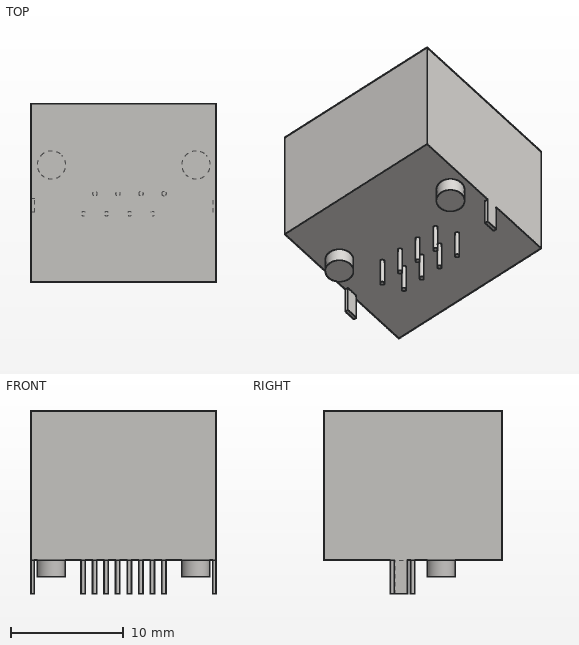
import cadquery as cq

HOUSING_WIDTH = 16.4
HOUSING_DEPTH = 15.8
HOUSING_HEIGHT = 13.2

PIN_COUNT = 8
PIN_DIAMETER = 0.4
PIN_LENGTH = 3.0
PIN_PITCH = 1.02
ROW_SPACING = 1.78
INNER_ROW_Y = -0.04
OUTER_ROW_Y = INNER_ROW_Y - ROW_SPACING

PEG_DIAMETER = 2.5
PEG_LENGTH = 1.5
PEG_SPACING = 12.8
PEG_TO_PIN_ROW = 2.54
PEG_Y = INNER_ROW_Y + PEG_TO_PIN_ROW

TAB_THICKNESS = 0.3
TAB_WIDTH = 1.2
TAB_LENGTH = PIN_LENGTH
TAB_Y = -1.07


def make_housing():
    return cq.Workplane("XY").box(
        HOUSING_WIDTH, HOUSING_DEPTH, HOUSING_HEIGHT, centered=(True, True, False)
    )


def posts(points, diameter, length):
    """Round posts hanging down from the underside."""
    return cq.Workplane("XY").pushPoints(points).circle(diameter / 2).extrude(-length)


def make_pins():
    first_x = -PIN_PITCH * (PIN_COUNT - 1) / 2
    points = []
    for index in range(PIN_COUNT):
        row_y = OUTER_ROW_Y if index % 2 == 0 else INNER_ROW_Y
        points.append((first_x + index * PIN_PITCH, row_y))
    return posts(points, PIN_DIAMETER, PIN_LENGTH)


def make_pegs():
    points = [(side * PEG_SPACING / 2, PEG_Y) for side in (-1, 1)]
    return posts(points, PEG_DIAMETER, PEG_LENGTH)


def make_tabs():
    tab_x = (HOUSING_WIDTH - TAB_THICKNESS) / 2
    return (
        cq.Workplane("XY")
        .pushPoints([(-tab_x, TAB_Y), (tab_x, TAB_Y)])
        .rect(TAB_THICKNESS, TAB_WIDTH)
        .extrude(-TAB_LENGTH)
    )


result = make_housing().union(make_pins()).union(make_pegs()).union(make_tabs())